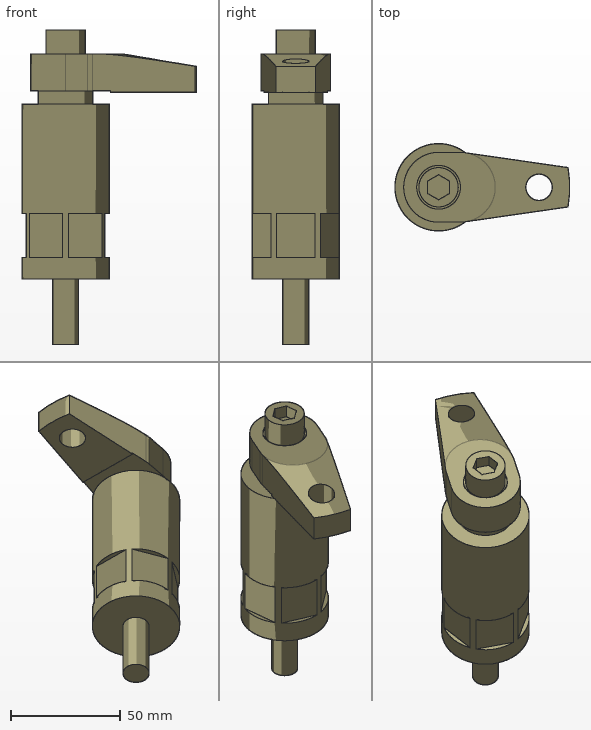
import cadquery as cq
import math

screw_length = 144.0
housing_bottom = 30.0
housing_height = 80.0
neck_height = 6.0
lever_thickness = 17.0
housing_top = housing_bottom + housing_height
lever_bottom = housing_top + neck_height
lever_top = lever_bottom + lever_thickness

housing_diameter = 40.0
neck_diameter = 25.0
flat_count = 6
across_flats = 36.0
flats_offset = 10.0
flats_height = 20.0

shank_diameter = 12.0
head_diameter = 18.0
head_height = shank_diameter
head_seat = screw_length - head_height
socket_across_flats = 10.0
socket_depth = 6.0

hub_radius = 16.0
hub_center_distance = 10.0
tip_radius = 50.1
taper_angle = math.radians(8.2)
counterbore_diameter = 20.0
arm_hole_x = 46.0
arm_hole_diameter = 12.0
arm_drop = 0.7
arm_drop_x = 20.5
tip_slope_drop = 5.8


def cylinder(diameter, z_low, z_high, x=0.0):
    return cq.Workplane("XY", origin=(x, 0, z_low)).circle(diameter / 2).extrude(z_high - z_low)


def block(x_low, x_high, z_low, z_high):
    """Box centred on Y and wide enough to span every part."""
    return cq.Workplane("XY", origin=(x_low, 0, z_low)).box(
        x_high - x_low, 2 * tip_radius, z_high - z_low, centered=(False, True, False)
    )


def make_housing():
    """Round housing with a neck, a ring of wrench flats and a through bore."""
    body = cylinder(housing_diameter, housing_bottom, housing_top)
    flats_bottom = housing_bottom + flats_offset
    cut_depth = (housing_diameter - across_flats) / 2
    for i in range(flat_count):
        flat_cut = (
            cq.Workplane("XY", origin=(0, 0, flats_bottom))
            .center(across_flats / 2 + cut_depth / 2, 0)
            .rect(cut_depth, housing_diameter)
            .extrude(flats_height)
            .rotate((0, 0, 0), (0, 0, 1), i * 360 / flat_count)
        )
        body = body.cut(flat_cut)
    neck = cylinder(neck_diameter, housing_top, lever_bottom)
    return body.union(neck).cut(cylinder(shank_diameter, housing_bottom, lever_bottom))


def lever_blank(z_low):
    """Plan outline of the lever, extruded from z_low up to the lever top."""
    tangent_x = hub_center_distance + hub_radius * math.sin(taper_angle)
    tangent_y = hub_radius * math.cos(taper_angle)
    middle_angle = taper_angle / 2
    middle_x = hub_center_distance + hub_radius * math.sin(middle_angle)
    middle_y = hub_radius * math.cos(middle_angle)
    edge_length = math.sqrt(tip_radius**2 - hub_radius**2)
    corner_x = tangent_x + edge_length * math.cos(taper_angle)
    corner_y = tangent_y - edge_length * math.sin(taper_angle)
    return (
        cq.Workplane("XY", origin=(0, 0, z_low))
        .moveTo(0, hub_radius)
        .lineTo(hub_center_distance, hub_radius)
        .threePointArc((middle_x, middle_y), (tangent_x, tangent_y))
        .lineTo(corner_x, corner_y)
        .threePointArc((hub_center_distance + tip_radius, 0), (corner_x, -corner_y))
        .lineTo(tangent_x, -tangent_y)
        .threePointArc((middle_x, -middle_y), (hub_center_distance, -hub_radius))
        .lineTo(0, -hub_radius)
        .threePointArc((-hub_radius, 0), (0, hub_radius))
        .close()
        .extrude(lever_top - z_low)
    )


def arm_top_cut():
    """Ring above the cone that falls from the hub's second arc to the tip."""
    overrun = 1.2
    reach = (tip_radius - hub_radius) * overrun
    drop = tip_slope_drop * overrun
    return (
        cq.Workplane("XZ", origin=(hub_center_distance, 0, lever_top))
        .moveTo(hub_radius, 0)
        .lineTo(hub_radius + reach, -drop)
        .lineTo(hub_radius + reach, 0)
        .close()
        .revolve(360, (0, 0, 0), (0, 1, 0))
    )


def make_lever():
    """Hub and sloping arm, with the screw's counterbored hole and the arm hole."""
    arm_bottom = lever_bottom - arm_drop
    hub_relief = block(-hub_radius, arm_drop_x, arm_bottom, lever_bottom)
    arm_side = block(hub_center_distance, hub_center_distance + 2 * tip_radius, arm_bottom, lever_top)
    return (
        lever_blank(arm_bottom)
        .cut(hub_relief)
        .cut(arm_top_cut().intersect(arm_side))
        .cut(cylinder(shank_diameter, lever_bottom, lever_top))
        .cut(cylinder(counterbore_diameter, head_seat, lever_top))
        .cut(cylinder(arm_hole_diameter, arm_bottom, lever_top, arm_hole_x))
    )


def make_screw():
    """Long socket head screw; the hexagon has corners on the Y axis."""
    shank = cylinder(shank_diameter, 0, head_seat)
    head = cylinder(head_diameter, head_seat, screw_length)
    socket_corner_diameter = socket_across_flats / math.cos(math.pi / 6)
    socket = (
        cq.Workplane("XY", origin=(0, 0, screw_length - socket_depth))
        .polygon(6, socket_corner_diameter)
        .extrude(socket_depth)
        .rotate((0, 0, 0), (0, 0, 1), 30)
    )
    return shank.union(head).cut(socket)


housing = make_housing()
lever = make_lever()
screw = make_screw()

result = cq.Compound.makeCompound([housing.val(), lever.val(), screw.val()])